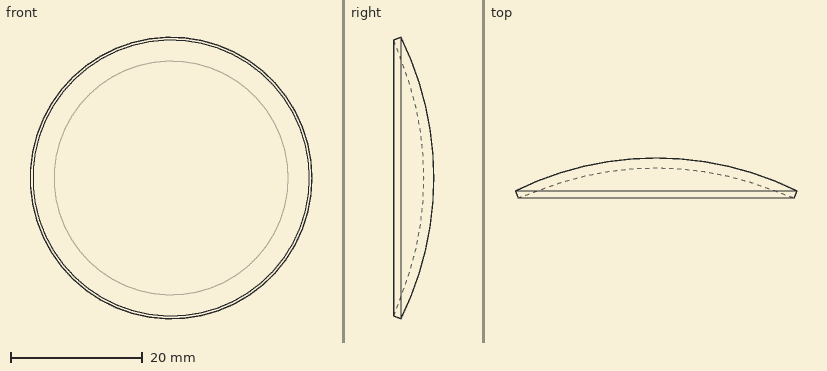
import cadquery as cq

outer_radius = 21.4
front_radius = 20.97
hollow_radius = 17.75
total_depth = 6.1
rim_depth = 1.1
bevel_depth = 1.2
hollow_apex_depth = 4.6


def sphere_radius(base_radius, height):
    """Radius of the sphere whose cap has this base radius and height."""
    return (base_radius**2 + height**2) / (2 * height)


def cap_midpoint(base_radius, base_y, apex_y):
    """Point on a spherical cap halfway between its base edge and its axis."""
    ball_radius = sphere_radius(base_radius, apex_y - base_y)
    mid_radius = base_radius / 2
    mid_y = apex_y - ball_radius + (ball_radius**2 - mid_radius**2) ** 0.5
    return (mid_radius, mid_y)


front_y = -total_depth / 2
back_y = front_y + total_depth
rim_y = front_y + rim_depth
bevel_y = front_y + bevel_depth
hollow_apex_y = front_y + hollow_apex_depth

half_section = (
    cq.Workplane("XY")
    .moveTo(0, hollow_apex_y)
    .threePointArc(
        cap_midpoint(hollow_radius, bevel_y, hollow_apex_y), (hollow_radius, bevel_y)
    )
    .lineTo(front_radius, front_y)
    .lineTo(outer_radius, rim_y)
    .threePointArc(cap_midpoint(outer_radius, rim_y, back_y), (0, back_y))
    .close()
)

result = half_section.revolve(360, (0, 0, 0), (0, 1, 0))